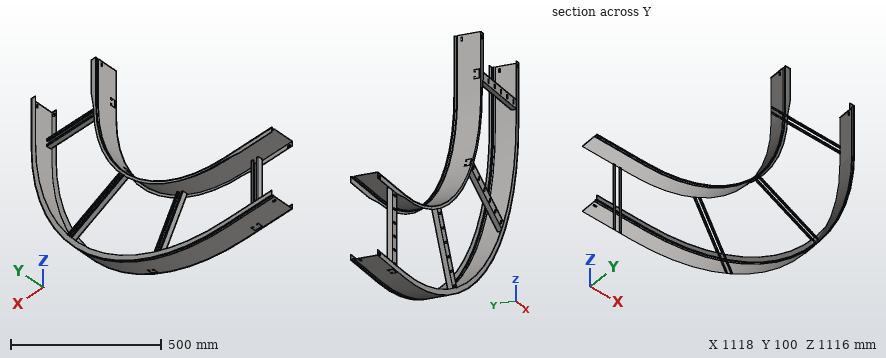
import cadquery as cq
import math


LENGTH_X = 1118.0
LENGTH_Z = 1116.0
RAIL_HEIGHT = 100.0
RAIL_SPACING = 301.0
OUTER_RADIUS = 900.0

RAIL_SHEET = 1.7
OUTER_FLANGE = 20.0
INNER_FLANGE = 21.0
INNER_FLANGE_IN_BEND = 11.0
BEAD_FROM_BACK = 9.0
BEAD_HALF_WIDTH = 5.0
BEAD_DEPTH = 3.0

END_SLOT_FROM_END = 16.0
END_SLOT_LENGTH = 13.0
FLANGE_SLOT_WIDTH = 9.0
OUTER_FLANGE_SLOT_DEPTH = 10.0
INNER_FLANGE_SLOT_DEPTH = 13.0
WEB_SLOT_WIDTH = 6.0
WEB_SLOT_FROM_BACK = 29.0
WEB_SLOT_CUT = 4 * RAIL_SHEET

RUNG_WIDTH = 34.0
RUNG_DEPTH = 20.0
RUNG_SHEET = 1.0
RUNG_LIP = 9.0
RUNG_LIP_RETURN = 6.0
RUNG_FRONT_Y = 7.0
END_RUNG_FROM_END = 150.0
MIDDLE_RUNG_ANGLE = 27.6
RUNG_SLOT_COUNT = 6
RUNG_SLOT_PITCH = 49.0
RUNG_SLOT_LENGTH = 16.0
RUNG_SLOT_WIDTH = 7.0

CENTRE_X = LENGTH_X - OUTER_RADIUS
CENTRE_Z = OUTER_RADIUS
INNER_RADIUS = OUTER_RADIUS - RAIL_SPACING
STRAIGHT_X = CENTRE_X
STRAIGHT_Z = LENGTH_Z - CENTRE_Z


def point_on_bend(radius, angle):
    """X and Z of a point on the bend, with the angle measured from +X down towards -Z."""
    turn = math.radians(angle)
    return CENTRE_X + radius * math.cos(turn), CENTRE_Z - radius * math.sin(turn)


def web_path(radius):
    """Straight, quarter arc, straight: from the -X end to the +Z end."""
    return (
        cq.Workplane("XZ")
        .moveTo(0, CENTRE_Z - radius)
        .lineTo(*point_on_bend(radius, 90))
        .threePointArc(point_on_bend(radius, 45), point_on_bend(radius, 0))
        .lineTo(CENTRE_X + radius, LENGTH_Z)
    )


def channel_rail(radius, flange, inward):
    """Beaded channel along the bend; inward is +1 if it opens towards +Z at its -X end, else -1."""
    bead_y = RAIL_HEIGHT - BEAD_FROM_BACK

    def height(depth):
        return CENTRE_Z - radius + inward * depth

    section = cq.Workplane("YZ").polyline([
        (0, height(flange)),
        (0, height(0)),
        (bead_y - BEAD_HALF_WIDTH, height(0)),
        (bead_y, height(BEAD_DEPTH)),
        (bead_y + BEAD_HALF_WIDTH, height(0)),
        (RAIL_HEIGHT, height(0)),
        (RAIL_HEIGHT, height(flange)),
        (RAIL_HEIGHT - RAIL_SHEET, height(flange)),
        (RAIL_HEIGHT - RAIL_SHEET, height(RAIL_SHEET)),
        (bead_y + BEAD_HALF_WIDTH, height(RAIL_SHEET)),
        (bead_y, height(BEAD_DEPTH + RAIL_SHEET)),
        (bead_y - BEAD_HALF_WIDTH, height(RAIL_SHEET)),
        (RAIL_SHEET, height(RAIL_SHEET)),
        (RAIL_SHEET, height(flange)),
    ]).close()
    return section.sweep(web_path(radius))


def inner_flange_outline():
    """Block inside the inner flanges' free edges, which taper between each end rung and the bend."""
    full = INNER_RADIUS + INNER_FLANGE
    narrow = INNER_RADIUS + INNER_FLANGE_IN_BEND
    return (
        cq.Workplane("XZ")
        .moveTo(0, CENTRE_Z - full)
        .lineTo(END_RUNG_FROM_END, CENTRE_Z - full)
        .lineTo(*point_on_bend(narrow, 90))
        .threePointArc(point_on_bend(narrow, 45), point_on_bend(narrow, 0))
        .lineTo(CENTRE_X + full, LENGTH_Z - END_RUNG_FROM_END)
        .lineTo(CENTRE_X + full, LENGTH_Z)
        .lineTo(0, LENGTH_Z)
        .close()
        .extrude(-RAIL_HEIGHT)
    )


def flange_slots(slot_radius):
    """Cutters for the slots in a front flange, one near each end of the rail."""
    places = [
        (END_SLOT_FROM_END, CENTRE_Z - slot_radius, 0),
        (CENTRE_X + slot_radius, LENGTH_Z - END_SLOT_FROM_END, 90),
    ]
    cutters = cq.Workplane("XZ")
    for x, z, angle in places:
        slot = (
            cq.Workplane("XZ")
            .center(x, z)
            .slot2D(END_SLOT_LENGTH, FLANGE_SLOT_WIDTH, angle)
            .extrude(-RAIL_SHEET)
        )
        cutters = cutters.add(slot)
    return cutters.combine()


def web_slot_at_top(radius):
    """Cutter for the slot through a rail's web near the +Z end."""
    return (
        cq.Workplane("YZ", origin=(CENTRE_X + radius - WEB_SLOT_CUT / 2, 0, 0))
        .center(RAIL_HEIGHT - WEB_SLOT_FROM_BACK, LENGTH_Z - END_SLOT_FROM_END)
        .slot2D(END_SLOT_LENGTH, WEB_SLOT_WIDTH, 90)
        .extrude(WEB_SLOT_CUT)
    )


def web_slot_at_side(radius):
    """Cutter for the slot through a rail's web near the -X end."""
    return (
        cq.Workplane("XY", origin=(0, 0, CENTRE_Z - radius - WEB_SLOT_CUT / 2))
        .center(END_SLOT_FROM_END, RAIL_HEIGHT - WEB_SLOT_FROM_BACK)
        .slot2D(END_SLOT_LENGTH, WEB_SLOT_WIDTH)
        .extrude(WEB_SLOT_CUT)
    )


def rung():
    """Slotted rung along X, as if Z and X were measured from the bend's axis, before trimming."""
    half = RUNG_WIDTH / 2
    back_y = RUNG_FRONT_Y + RUNG_DEPTH
    start = INNER_RADIUS
    end = OUTER_RADIUS - RAIL_SHEET
    channel = (
        cq.Workplane("YZ", origin=(start, 0, 0))
        .polyline([
            (RUNG_FRONT_Y, -half),
            (RUNG_FRONT_Y, half),
            (back_y, half),
            (back_y, half - RUNG_LIP),
            (back_y - RUNG_LIP_RETURN, half - RUNG_LIP),
            (back_y - RUNG_LIP_RETURN, half - RUNG_LIP + RUNG_SHEET),
            (back_y - RUNG_SHEET, half - RUNG_LIP + RUNG_SHEET),
            (back_y - RUNG_SHEET, half - RUNG_SHEET),
            (RUNG_FRONT_Y + RUNG_SHEET, half - RUNG_SHEET),
            (RUNG_FRONT_Y + RUNG_SHEET, RUNG_SHEET - half),
            (back_y - RUNG_SHEET, RUNG_SHEET - half),
            (back_y - RUNG_SHEET, RUNG_LIP - RUNG_SHEET - half),
            (back_y - RUNG_LIP_RETURN, RUNG_LIP - RUNG_SHEET - half),
            (back_y - RUNG_LIP_RETURN, RUNG_LIP - half),
            (back_y, RUNG_LIP - half),
            (back_y, -half),
        ])
        .close()
        .extrude(end - start)
    )
    slots = (
        cq.Workplane("XZ", origin=((INNER_RADIUS + OUTER_RADIUS) / 2, RUNG_FRONT_Y, 0))
        .rarray(RUNG_SLOT_PITCH, 11, RUNG_SLOT_COUNT, 1)
        .slot2D(RUNG_SLOT_LENGTH, RUNG_SLOT_WIDTH, 90)
        .extrude(-RUNG_SHEET)
    )
    return channel.cut(slots)


outer_rail = (
    channel_rail(OUTER_RADIUS, OUTER_FLANGE, 1)
    .cut(flange_slots(OUTER_RADIUS - OUTER_FLANGE_SLOT_DEPTH))
    .cut(web_slot_at_top(OUTER_RADIUS))
    .cut(web_slot_at_side(OUTER_RADIUS))
)

inner_rail = (
    channel_rail(INNER_RADIUS, INNER_FLANGE, -1)
    .intersect(inner_flange_outline())
    .cut(flange_slots(INNER_RADIUS + INNER_FLANGE_SLOT_DEPTH))
    .cut(web_slot_at_top(INNER_RADIUS))
)

RUNG_PLACES = [
    (0, 0, STRAIGHT_Z - END_RUNG_FROM_END),
    (MIDDLE_RUNG_ANGLE, 0, 0),
    (90 - MIDDLE_RUNG_ANGLE, 0, 0),
    (90, END_RUNG_FROM_END - STRAIGHT_X, 0),
]
rungs = []
for turn, shift_x, shift_z in RUNG_PLACES:
    turned = rung().rotate((0, 0, 0), (0, 1, 0), turn)
    placed = turned.translate((CENTRE_X + shift_x, 0, CENTRE_Z + shift_z))
    rungs.append(placed.cut(inner_rail).cut(outer_rail))

result = cq.Compound.makeCompound([
    outer_rail.val(),
    inner_rail.val(),
    *[fitted.val() for fitted in rungs],
])